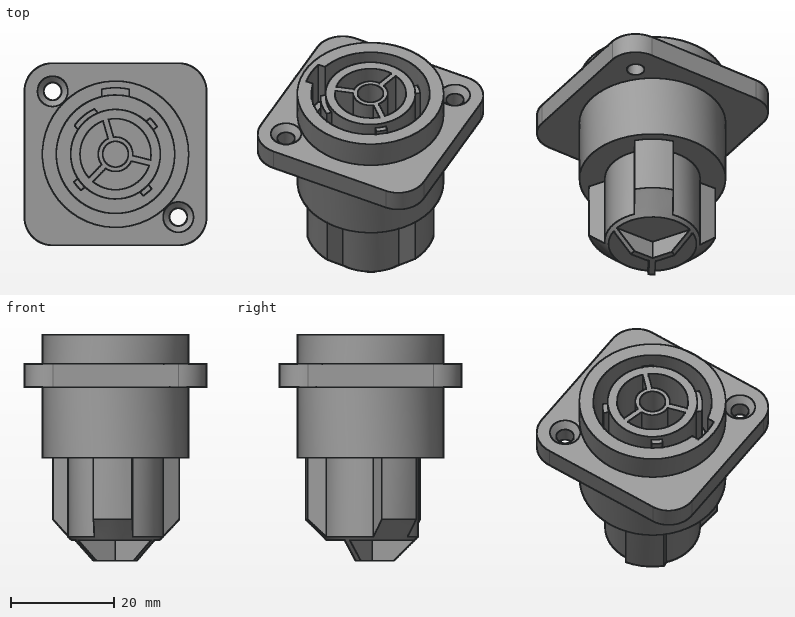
import cadquery as cq

tip_height = 4.0
shell_bottom = 20.0
flange_bottom = 33.7
flange_thickness = 4.5
flange_top = flange_bottom + flange_thickness
total_height = 43.9

flange_side = 35.4
flange_corner_radius = 5.5
screw_offset = 12.2
screw_hole_diameter = 3.4
countersink_diameter = 5.9
countersink_angle = 90.0

shell_radius = 14.2
socket_radius = 11.5
socket_depth = 16.0
key_slot_angle = 90.0
key_slot_width = 5.25
key_slot_radius = 12.9
key_slot_depth = 10.0

insert_radius = 8.7
pocket_radius = 6.9
hub_radius = 3.35
hub_hole_radius = 2.5
web_thickness = 1.1
first_web_angle = 106.0

lug_radius = 9.7
lug_drop = 1.0
lug_width = 2.15
wide_lug_width = 5.05
lug_widths_by_angle = {40.0: lug_width, 130.0: wide_lug_width, 220.0: lug_width, 310.0: lug_width}

barrel_radius = 9.25
rib_radius = 12.6
rib_width = 7.5
first_rib_angle = 27.4
fin_thickness = 1.2
first_fin_angle = 88.0
nose_tip_radius = 4.55

arm_count = 3
arm_spacing = 360.0 / arm_count
socket_floor = total_height - socket_depth


def cylinder(radius, bottom, top):
    """Solid cylinder on the Z axis between two heights."""
    return cq.Workplane("XY").workplane(offset=bottom).circle(radius).extrude(top - bottom)


def radial_bar(length, width, angle, bottom, top):
    """Rectangular bar running from the Z axis outward at the given angle."""
    return (
        cq.Workplane("XY")
        .workplane(offset=bottom)
        .rect(length, width)
        .extrude(top - bottom)
        .translate((length / 2, 0, 0))
        .rotate((0, 0, 0), (0, 0, 1), angle)
    )


def three_arms(length, width, first_angle, bottom, top):
    """Three equally spaced radial bars joined at the Z axis."""
    arms = radial_bar(length, width, first_angle, bottom, top)
    for index in range(1, arm_count):
        arms = arms.union(radial_bar(length, width, first_angle + index * arm_spacing, bottom, top))
    return arms


def make_flange():
    """Rounded square plate with two countersunk screw holes on a diagonal."""
    plate = (
        cq.Workplane("XY")
        .workplane(offset=flange_bottom)
        .rect(flange_side, flange_side)
        .extrude(flange_thickness)
        .edges("|Z")
        .fillet(flange_corner_radius)
    )
    return (
        plate.faces(">Z")
        .workplane(origin=(0, 0, flange_top))
        .pushPoints([(-screw_offset, screw_offset), (screw_offset, -screw_offset)])
        .cskHole(screw_hole_diameter, countersink_diameter, countersink_angle)
    )


def make_socket_cut():
    """Round socket opening upward, with a shallower key slot on its +Y side."""
    socket = cylinder(socket_radius, socket_floor, total_height)
    key_floor = total_height - key_slot_depth
    key_slot = radial_bar(shell_radius, key_slot_width, key_slot_angle, key_floor, total_height)
    key_slot = key_slot.intersect(cylinder(key_slot_radius, key_floor, total_height))
    return socket.union(key_slot)


def make_insert():
    """Round insert with a hollow hub, three webs between pockets, and outer lugs."""
    insert = cylinder(insert_radius, socket_floor, total_height)
    insert = insert.cut(cylinder(pocket_radius, socket_floor, total_height))
    webs = three_arms(insert_radius, web_thickness, first_web_angle, socket_floor, total_height)
    insert = insert.union(webs.intersect(cylinder(pocket_radius, socket_floor, total_height)))
    insert = insert.union(cylinder(hub_radius, socket_floor, total_height))

    lug_top = total_height - lug_drop
    lug_envelope = cylinder(lug_radius, socket_floor, lug_top)
    lug_envelope = lug_envelope.cut(cylinder(pocket_radius, socket_floor, lug_top))
    for angle, width in lug_widths_by_angle.items():
        lug = radial_bar(shell_radius, width, angle, socket_floor, lug_top)
        insert = insert.union(lug.intersect(lug_envelope))

    return insert.cut(cylinder(hub_hole_radius, socket_floor, total_height))


def make_rear():
    """Ribbed barrel and tip fins, trimmed by one 45 degree cone at the nose."""
    barrel = cylinder(barrel_radius, tip_height, shell_bottom)
    ribs = three_arms(shell_radius, rib_width, first_rib_angle, tip_height, shell_bottom)
    fins = three_arms(shell_radius, fin_thickness, first_fin_angle, 0.0, tip_height)
    cone_height = rib_radius - nose_tip_radius
    envelope = (
        cq.Workplane("XZ")
        .moveTo(0, 0)
        .lineTo(nose_tip_radius, 0)
        .lineTo(rib_radius, cone_height)
        .lineTo(rib_radius, shell_bottom)
        .lineTo(0, shell_bottom)
        .close()
        .revolve(360, (0, 0, 0), (0, 1, 0))
    )
    return barrel.union(ribs).union(fins).intersect(envelope)


shell = cylinder(shell_radius, shell_bottom, total_height).union(make_flange())
result = shell.cut(make_socket_cut()).union(make_insert()).union(make_rear())